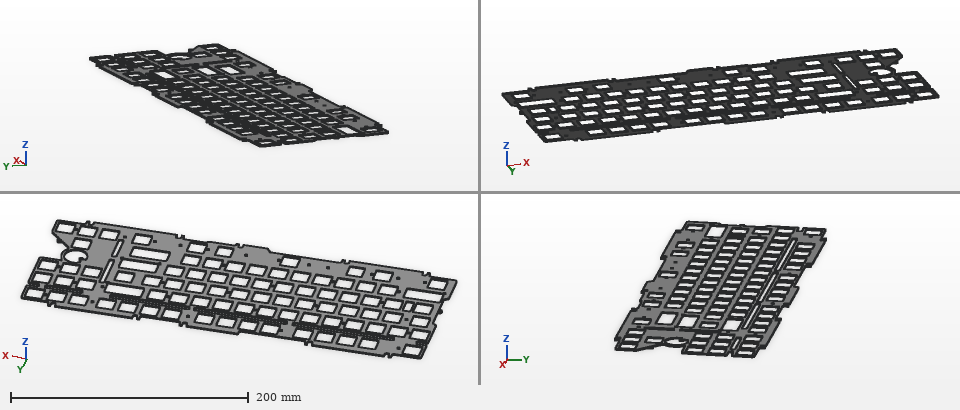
import cadquery as cq
import math

LENGTH = 348.11
WIDTH = 128.26
THICKNESS = 1.2
HALF_LENGTH = LENGTH / 2
HALF_WIDTH = WIDTH / 2
BODY_HALF_WIDTH = 59.4
CORNER_RADIUS = 2.0

UNIT = 19.05
GRID_COLUMNS = 18.25
GRID_SHIFT_Y = 0.12
ROW_OFFSETS = {
    "function": 2.625,
    "number": 1.375,
    "tab": 0.375,
    "caps": -0.625,
    "shift": -1.625,
    "space": -2.625,
}

SWITCH_COLUMNS = {
    "function": [0.5, 2.5, 3.5, 4.5, 5.5, 7, 8, 9, 10, 11.5, 12.5, 13.5, 14.5, 15.75, 16.75, 17.75],
    "number": [0.5 + i for i in range(13)] + [15.75, 16.75, 17.75],
    "tab": [0.75] + [2 + i for i in range(12)] + [14.25, 15.75, 16.75, 17.75],
    "caps": [0.875] + [2.25 + i for i in range(11)],
    "shift": [2.75 + i for i in range(10)] + [16.75],
    "space": [0.75, 3.25, 11.75, 14.25, 15.75, 16.75, 17.75],
}
SWITCH_LENGTH = 14.63
SWITCH_WIDTH = 14.0
OPENING_RADIUS = 0.8

SPACE_BAR_COLUMN = 7.5
SPACE_BAR_DROP = 0.2
SPACE_BAR_END_COLUMNS = [4.5, 10.5]
SPACE_BAR_END_SIZE = 13.4
SPACE_BAR_END_DROP = 0.4

WIDE_OPENINGS = [(14, "number"), (13.875, "caps"), (1.125, "shift"), (13.625, "shift")]
WIDE_LENGTH = 32.0
WIDE_RADIUS = 1.5
CORNER_HOLES = [(14, "number", 1), (13.875, "caps", -1), (13.875, "caps", 1), (1.125, "shift", -1)]
CORNER_HOLE_OFFSET = 16.3
CORNER_HOLE_DROP = 7.2

CAPS_SLOT_COLUMN = 1.55
CAPS_SLOT_LENGTH = 7.0
CAPS_SLOT_RADIUS = 1.2

HOLE_DIAMETER = 2.2
HOLE_COLUMNS = {
    "function": [1.125, 6.5, 10.75, 15.125, 17.25],
    "number": [1, 4, 8, 12, 15, 16.25],
    "tab": [1.375, 5.5, 9.5, 12.5, 17.25],
    "caps": [2.75, 7.75],
    "shift": [2.25, 5.25, 10.25],
    "space": [1.325, 2.55, 3.75, 5.75, 6.625, 8, 9.5, 11.25, 12.5, 13.67, 15.04, 17.25],
}
LUG_RADIUS = 2.2

SLOT_WIDTH = 4.2
SLOT_RADIUS = 1.5
FLEX_ROW_Y = 2 * UNIT
FLEX_ROW_SPANS = [(-145.1, -56.9), (-52.0, 29.1), (33.0, 102.3), (126.0, 158.7)]
LEFT_FLEX_END = -164.5
RIGHT_FLEX_END = 164.0
FLEX_COLUMN = 15.125
FLEX_COLUMN_SPANS = [(-14.5, 20.4), (-45.0, -19.4)]

NOTCH_WIDTH = 4.0
FINGER_WIDTH = 2.1
FINGER_FILLET = 2.0
TAB_CORNER_RADIUS = 1.2
NOTCH_BOTTOM_Y = 59.65
ROUND_NOTCH_RADIUS = 2.5
ROUND_NOTCH_Y = 62.0
ROUND_NOTCHES = [(-80.3, 1, 1), (70.9, -1, -1)]
SHELF_FINGER = (13.1, 1, -1)
TOP_FINGERS = [(-143.2, -1), (-80.3, 1), (28.8, 1), (76.0, -1), (143.2, 1)]
BOTTOM_FINGERS = [(-143.2, -1), (-79.2, 1), (13.1, 1), (70.9, -1), (143.2, 1)]
TOP_STEP_X = -16.2
BOTTOM_RAMP = (-11.5, -7.9)
BOTTOM_SHELF_END = 43.8
BOTTOM_SHELF_Y = -61.3
SHELF_CHAMFER = 1.2

RECESS_X = -170.4
RECESS_TOP = 9.5
RECESS_BOTTOM = -32.3
RECESS_RAMP = 2.8
LEFT_LUG_X = -171.6
LEFT_LUG_RADIUS = 1.9

KNOB_COLUMN = 16.75
KNOB_RADIUS = 9.85
KNOB_RIM_RADIUS = 12.4
KNOB_LUG_RADIUS = 1.7
KNOB_HOLE = (139.7, -8.7)
RIGHT_SHELF_Y = -2.7
RIGHT_SHELF_X = 155.6
SLOPE_TOP = (154.4, -22.9)
SLOPE_END_Y = -41.7
RIGHT_LUG_COLUMN = 17.74


def column_x(column):
    return (column - GRID_COLUMNS / 2) * UNIT


def row_y(row):
    return ROW_OFFSETS[row] * UNIT + GRID_SHIFT_Y


def block(x0, x1, y0, y1):
    return (
        cq.Workplane("XY")
        .box(x1 - x0, y1 - y0, THICKNESS)
        .translate(((x0 + x1) / 2, (y0 + y1) / 2, 0))
    )


def rounded_block(x0, x1, y0, y1, radius):
    return block(x0, x1, y0, y1).edges("|Z").fillet(radius)


def disc(x, y, radius):
    return cq.Workplane("XY").center(x, y).circle(radius).extrude(THICKNESS / 2, both=True)


def prism(points):
    return cq.Workplane("XY").polyline(points).close().extrude(THICKNESS / 2, both=True)


def tab_blocks():
    """Blocks from the plate's middle line out to the tab edges, before the notches are cut."""
    reach = NOTCH_WIDTH + FINGER_WIDTH
    top = [x + side * reach for x, side in TOP_FINGERS]
    low = [x + side * reach for x, side in BOTTOM_FINGERS]
    spans = [
        (top[0], top[1], 1),
        (TOP_STEP_X, top[2], 1),
        (top[3], top[4], 1),
        (low[0], low[1], -1),
        (BOTTOM_RAMP[1], low[2], -1),
        (low[3], low[4], -1),
    ]
    blocks = []
    for x0, x1, side in spans:
        edges = sorted((0, side * HALF_WIDTH))
        blocks.append(block(x0, x1, edges[0], edges[1]))
    return blocks


def base_fillet(x, y, side_x, side_y):
    """Concave fillet where a wall facing side_x rises from a long edge facing side_y."""
    r = FINGER_FILLET
    diagonal = r * (1 - math.sqrt(0.5))
    return (
        cq.Workplane("XY")
        .moveTo(x, y)
        .lineTo(x + side_x * r, y)
        .threePointArc((x + side_x * diagonal, y + side_y * diagonal), (x, y + side_y * r))
        .close()
        .extrude(THICKNESS / 2, both=True)
    )


def notch(x, side_y, bottom_radius, bottom_centre_y):
    """Notch in a tab: a mouth leading into a round bottom."""
    centre_y = side_y * bottom_centre_y
    low, high = sorted((centre_y, side_y * HALF_WIDTH))
    mouth = block(x - NOTCH_WIDTH / 2, x + NOTCH_WIDTH / 2, low, high)
    return mouth.union(disc(x, centre_y, bottom_radius))


def mounting_edges(plate):
    """Add the mounting tabs to both long edges, then cut their notches and fillet their bases."""
    for tab in tab_blocks():
        plate = plate.union(tab)
    ramp_start, ramp_end = BOTTOM_RAMP
    plate = plate.union(
        prism([(ramp_start, -BODY_HALF_WIDTH), (ramp_end, -HALF_WIDTH), (ramp_end, -BODY_HALF_WIDTH)])
    )
    shelf = block(SHELF_FINGER[0], BOTTOM_SHELF_END, BOTTOM_SHELF_Y, 0)
    plate = plate.union(shelf.edges("|Z and >X and <Y").chamfer(SHELF_CHAMFER))
    for side_y, fingers in ((1, TOP_FINGERS), (-1, BOTTOM_FINGERS)):
        for wall_x, side_x in fingers:
            finger_x = wall_x + side_x * (NOTCH_WIDTH + FINGER_WIDTH)
            edge_y = side_y * BODY_HALF_WIDTH
            if (wall_x, side_x, side_y) == SHELF_FINGER:
                edge_y = BOTTOM_SHELF_Y
            plate = plate.union(base_fillet(finger_x, edge_y, side_x, side_y))
            notch_x = wall_x + side_x * NOTCH_WIDTH / 2
            if (wall_x, side_x, side_y) in ROUND_NOTCHES:
                cutter = notch(notch_x, side_y, ROUND_NOTCH_RADIUS, ROUND_NOTCH_Y)
            else:
                cutter = notch(notch_x, side_y, NOTCH_WIDTH / 2, NOTCH_BOTTOM_Y + NOTCH_WIDTH / 2)
            plate = plate.cut(cutter)
    step_corner = cq.selectors.NearestToPointSelector((TOP_STEP_X, HALF_WIDTH, 0))
    plate = plate.edges(step_corner).fillet(TAB_CORNER_RADIUS)
    return plate.union(base_fillet(TOP_STEP_X, BODY_HALF_WIDTH, -1, 1))


def left_recess(plate):
    """Shallow recess in the left edge with a holed lug in its middle."""
    recess = prism([
        (-HALF_LENGTH, RECESS_TOP),
        (RECESS_X, RECESS_TOP - RECESS_RAMP),
        (RECESS_X, RECESS_BOTTOM + RECESS_RAMP),
        (-HALF_LENGTH, RECESS_BOTTOM),
    ])
    lug_y = row_y("caps")
    plate = plate.cut(recess).union(disc(LEFT_LUG_X, lug_y, LEFT_LUG_RADIUS))
    return plate.cut(disc(LEFT_LUG_X, lug_y, HOLE_DIAMETER / 2))


def knob_side(plate):
    """Cut the right edge away around the knob opening, leaving a rim and two holed lugs."""
    knob_x = column_x(KNOB_COLUMN)
    knob_y = row_y("caps")
    lug_x = column_x(RIGHT_LUG_COLUMN)
    lug_y = row_y("shift")
    cut_away = prism([
        (RIGHT_SHELF_X, RIGHT_SHELF_Y),
        (HALF_LENGTH, RIGHT_SHELF_Y),
        (HALF_LENGTH, SLOPE_END_Y),
        SLOPE_TOP,
        (SLOPE_TOP[0], knob_y),
    ])
    shelf_corner = cq.selectors.NearestToPointSelector((HALF_LENGTH, RIGHT_SHELF_Y, 0))
    slope_corner = cq.selectors.NearestToPointSelector((HALF_LENGTH, SLOPE_END_Y, 0))
    plate = plate.cut(cut_away).union(disc(knob_x, knob_y, KNOB_RIM_RADIUS))
    plate = plate.edges(shelf_corner).fillet(CORNER_RADIUS)
    plate = plate.edges(slope_corner).fillet(CORNER_RADIUS)
    plate = plate.union(disc(lug_x, lug_y, LUG_RADIUS))
    plate = plate.cut(disc(lug_x, lug_y, HOLE_DIAMETER / 2))

    lug_corner = block(knob_x - KNOB_RADIUS, KNOB_HOLE[0], KNOB_HOLE[1], knob_y + KNOB_RADIUS)
    knob_lug = lug_corner.union(disc(*KNOB_HOLE, KNOB_LUG_RADIUS))
    opening = disc(knob_x, knob_y, KNOB_RADIUS).cut(knob_lug)
    return plate.cut(opening).cut(disc(*KNOB_HOLE, HOLE_DIAMETER / 2))


def flex_slots():
    """Slots that let the key blocks flex: one broken row, and one broken column."""
    low = FLEX_ROW_Y - SLOT_WIDTH / 2
    high = FLEX_ROW_Y + SLOT_WIDTH / 2
    slots = [rounded_block(x0, x1, low, high, SLOT_RADIUS) for x0, x1 in FLEX_ROW_SPANS]
    beyond = HALF_LENGTH + UNIT
    slots.append(rounded_block(-beyond, LEFT_FLEX_END, low, high, SLOT_RADIUS))
    slots.append(rounded_block(RIGHT_FLEX_END, beyond, low, high, SLOT_RADIUS))
    left = column_x(FLEX_COLUMN) - SLOT_WIDTH / 2
    right = column_x(FLEX_COLUMN) + SLOT_WIDTH / 2
    for y0, y1 in FLEX_COLUMN_SPANS:
        slots.append(rounded_block(left, right, y0, y1, SLOT_RADIUS))
    return slots


def round_right_slot_mouth(plate):
    """Round the two corners where the open slot meets the right edge."""
    for side in (-1, 1):
        corner = (HALF_LENGTH, FLEX_ROW_Y + side * SLOT_WIDTH / 2, 0)
        plate = plate.edges(cq.selectors.NearestToPointSelector(corner)).fillet(SLOT_RADIUS)
    return plate


def centred_opening(x, y, length, width, radius):
    return rounded_block(x - length / 2, x + length / 2, y - width / 2, y + width / 2, radius)


def key_openings():
    openings = []
    switch = centred_opening(0, 0, SWITCH_LENGTH, SWITCH_WIDTH, OPENING_RADIUS)
    for row, columns in SWITCH_COLUMNS.items():
        openings += [switch.translate((column_x(column), row_y(row), 0)) for column in columns]
    openings.append(switch.translate((column_x(SPACE_BAR_COLUMN), row_y("space") - SPACE_BAR_DROP, 0)))
    for column in SPACE_BAR_END_COLUMNS:
        y = row_y("space") - SPACE_BAR_END_DROP
        size = SPACE_BAR_END_SIZE
        openings.append(centred_opening(column_x(column), y, size, size, OPENING_RADIUS))
    for column, row in WIDE_OPENINGS:
        openings.append(centred_opening(column_x(column), row_y(row), WIDE_LENGTH, SWITCH_WIDTH, WIDE_RADIUS))
    openings.append(
        centred_opening(
            column_x(CAPS_SLOT_COLUMN), row_y("caps"), CAPS_SLOT_LENGTH, SWITCH_WIDTH, CAPS_SLOT_RADIUS
        )
    )
    return openings


def fixing_holes():
    holes = []
    for row, columns in HOLE_COLUMNS.items():
        for column in columns:
            holes.append(disc(column_x(column), row_y(row), HOLE_DIAMETER / 2))
    for column, row, side in CORNER_HOLES:
        x = column_x(column) + side * CORNER_HOLE_OFFSET
        holes.append(disc(x, row_y(row) - CORNER_HOLE_DROP, HOLE_DIAMETER / 2))
    return holes


def cut_all(plate, tools):
    """Cut many separate tools from the plate in one operation."""
    return plate.cut(cq.Workplane(cq.Compound.makeCompound([tool.val() for tool in tools])))


body = block(-HALF_LENGTH, HALF_LENGTH, -BODY_HALF_WIDTH, BODY_HALF_WIDTH)
body = body.edges("|Z").fillet(CORNER_RADIUS)
body = mounting_edges(body)
body = left_recess(body)
body = knob_side(body)
body = cut_all(body, flex_slots())
body = round_right_slot_mouth(body)
body = cut_all(body, key_openings())
result = cut_all(body, fixing_holes())